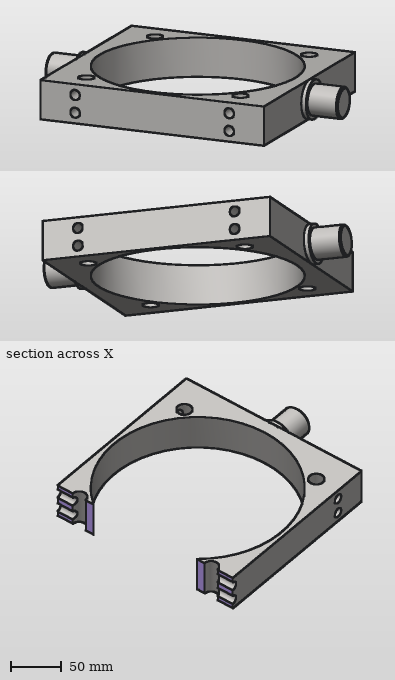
import cadquery as cq
import math

FRAME_LENGTH = 240.0
FRAME_WIDTH = 220.0
FRAME_HEIGHT = 40.0
BORE_DIAMETER = 210.0

OVERALL_LENGTH = 314.0
TRUNNION_DIAMETER = 32.0
TRUNNION_CHAMFER = 1.5
COLLAR_DIAMETER = FRAME_HEIGHT
COLLAR_THICKNESS = 5.0
COLLAR_OUTER_X = FRAME_LENGTH / 2 + COLLAR_THICKNESS
TRUNNION_LENGTH = OVERALL_LENGTH / 2 - COLLAR_OUTER_X

BOLT_HOLE_DIAMETER = 16.0
BOLT_CIRCLE_DIAMETER = 234.0
BOLT_HOLE_OFFSET = BOLT_CIRCLE_DIAMETER / 2 * math.cos(math.radians(45))

SIDE_HOLE_DIAMETER = 10.2
SIDE_HOLE_SPACING = 18.0
SIDE_HOLE_DEPTH = FRAME_WIDTH / 2 - BOLT_HOLE_OFFSET


def make_frame():
    """Rectangular block with the large central bore."""
    return (
        cq.Workplane("XY")
        .box(FRAME_LENGTH, FRAME_WIDTH, FRAME_HEIGHT)
        .faces(">Z")
        .workplane()
        .hole(BORE_DIAMETER)
    )


def make_trunnion():
    """Collar and chamfered pin standing on the +X face."""
    collar = (
        cq.Workplane("YZ", origin=(FRAME_LENGTH / 2, 0, 0))
        .circle(COLLAR_DIAMETER / 2)
        .extrude(COLLAR_THICKNESS)
    )
    pin = (
        cq.Workplane("YZ", origin=(COLLAR_OUTER_X, 0, 0))
        .circle(TRUNNION_DIAMETER / 2)
        .extrude(TRUNNION_LENGTH)
        .faces(">X")
        .chamfer(TRUNNION_CHAMFER)
    )
    return collar.union(pin)


def make_bolt_holes():
    """Four vertical through holes on a square pattern."""
    return (
        cq.Workplane("XY", origin=(0, 0, -FRAME_HEIGHT / 2))
        .rect(2 * BOLT_HOLE_OFFSET, 2 * BOLT_HOLE_OFFSET, forConstruction=True)
        .vertices()
        .circle(BOLT_HOLE_DIAMETER / 2)
        .extrude(FRAME_HEIGHT)
    )


def make_side_holes():
    """Two pairs of holes drilled from the -Y face, ending at the bolt hole axes."""
    return (
        cq.Workplane("XZ", origin=(0, -BOLT_HOLE_OFFSET, 0))
        .rect(2 * BOLT_HOLE_OFFSET, SIDE_HOLE_SPACING, forConstruction=True)
        .vertices()
        .circle(SIDE_HOLE_DIAMETER / 2)
        .extrude(SIDE_HOLE_DEPTH)
    )


trunnion = make_trunnion()
side_holes = make_side_holes()

result = (
    make_frame()
    .union(trunnion)
    .union(trunnion.mirror("YZ"))
    .cut(make_bolt_holes())
    .cut(side_holes)
    .cut(side_holes.mirror("XZ"))
)